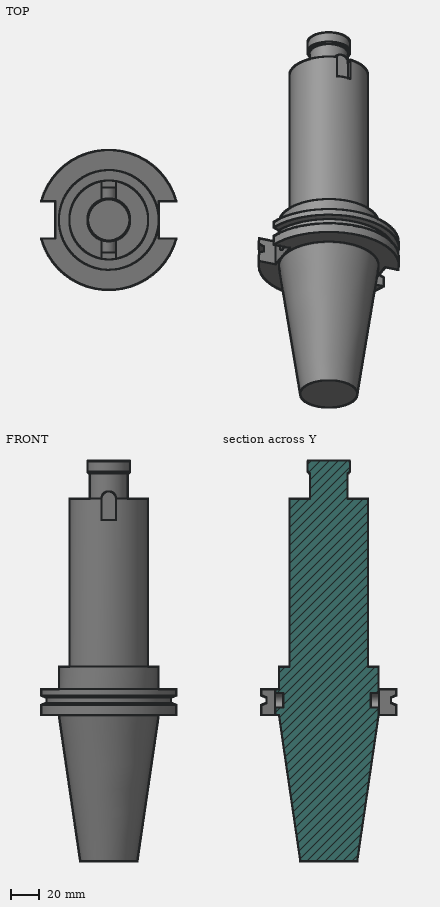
import cadquery as cq

total_height = 280.8
gauge_height = 101.7
flange_bottom = 102.5
flange_top = 120.8
collar_top = 136.5
body_top = 254.2

taper_small_diameter = 40.2
collar_diameter = 70.0
flange_diameter = 98.3
body_diameter = 55.3
pilot_diameter = 27.0
head_diameter = 30.0

head_height = 9.0
head_top_chamfer = 0.5
head_bottom_chamfer = 1.0

groove_center = 113.0
groove_floor_width = 3.7
groove_mouth_width = 6.7
groove_depth = 3.7

slot_width = 25.8
slot_floor_distances = {-1: 37.5, 1: 35.0}
slot_hole_diameter = 9.8
slot_hole_height = groove_center
slot_hole_depth = 5.5

key_width = 10.0
key_span = 45.5
key_slot_depth = 15.2


def cylinder(diameter, bottom, top):
    return cq.Workplane("XY").workplane(offset=bottom).circle(diameter / 2).extrude(top - bottom)


def make_taper():
    profile = [
        (0, 0),
        (taper_small_diameter / 2, 0),
        (collar_diameter / 2, gauge_height),
        (0, gauge_height),
    ]
    return cq.Workplane("XZ").polyline(profile).close().revolve(360, (0, 0), (0, 1))


def make_flange():
    radius = flange_diameter / 2
    floor_radius = radius - groove_depth
    profile = [
        (0, flange_bottom),
        (radius, flange_bottom),
        (radius, groove_center - groove_mouth_width / 2),
        (floor_radius, groove_center - groove_floor_width / 2),
        (floor_radius, groove_center + groove_floor_width / 2),
        (radius, groove_center + groove_mouth_width / 2),
        (radius, flange_top),
        (0, flange_top),
    ]
    flange = cq.Workplane("XZ").polyline(profile).close().revolve(360, (0, 0), (0, 1))
    for side in (-1, 1):
        flange = flange.cut(make_drive_slot(side))
    return flange


def make_drive_slot(side):
    slot = cq.Workplane("XY").box(
        flange_diameter,
        slot_width,
        flange_top - flange_bottom,
        centered=(True, True, False),
    )
    center_distance = slot_floor_distances[side] + flange_diameter / 2
    return slot.translate((side * center_distance, 0, flange_bottom))


def make_slot_hole(side):
    plane = cq.Plane(
        origin=(side * slot_floor_distances[side], 0, slot_hole_height),
        xDir=(0, 1, 0),
        normal=(-side, 0, 0),
    )
    return cq.Workplane(plane).circle(slot_hole_diameter / 2).extrude(slot_hole_depth)


def make_body():
    body = cylinder(body_diameter, collar_top, body_top)
    key_slot = cq.Workplane("XY").box(
        key_width,
        body_diameter,
        key_slot_depth,
        centered=(True, True, False),
    )
    return body.cut(key_slot.translate((0, 0, body_top - key_slot_depth)))


def make_keys():
    half_width = key_width / 2
    bottom = body_top - key_slot_depth
    return (
        cq.Workplane("XZ")
        .moveTo(-half_width, bottom)
        .lineTo(half_width, bottom)
        .lineTo(half_width, body_top)
        .threePointArc((0, body_top + half_width), (-half_width, body_top))
        .close()
        .extrude(key_span / 2, both=True)
    )


def make_pilot():
    head_bottom = total_height - head_height
    head = cylinder(head_diameter, head_bottom, total_height)
    head = head.faces(">Z").chamfer(head_top_chamfer)
    head = head.faces("<Z").chamfer(head_bottom_chamfer)
    return cylinder(pilot_diameter, body_top, head_bottom).union(head)


holder = make_taper()
holder = holder.union(cylinder(collar_diameter, gauge_height, collar_top))
holder = holder.union(make_flange())
for hole_side in (-1, 1):
    holder = holder.cut(make_slot_hole(hole_side))
result = holder.union(make_body()).union(make_keys()).union(make_pilot())